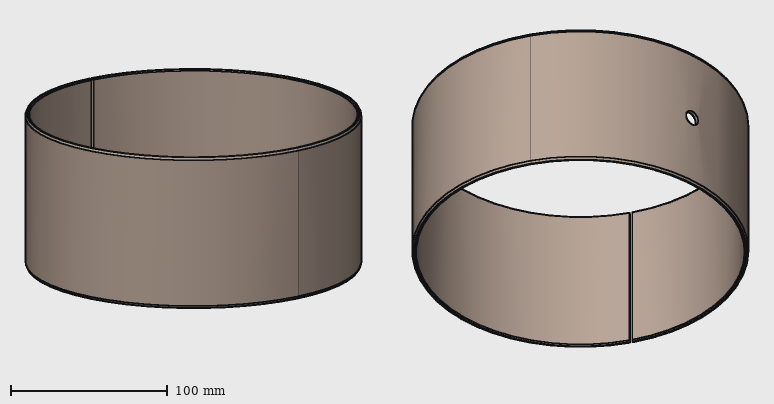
import cadquery as cq

outer_diameter = 215.0
height = 100.0
wall = 2.5
outer_bevel_width = 0.9
outer_bevel_height = 1.7
inner_bevel = 0.9
split_width = 2.0
hole_diameter = 10.0
hole_angle = 59.0

outer_radius = outer_diameter / 2
inner_radius = outer_radius - wall
half_height = height / 2


def make_ring():
    """Revolve the wall section, with both rims bevelled inside and out."""
    rim_outer = outer_radius - outer_bevel_width
    rim_inner = inner_radius + inner_bevel
    outer_shoulder = half_height - outer_bevel_height
    inner_shoulder = half_height - inner_bevel
    section = (
        cq.Workplane("XZ")
        .moveTo(inner_radius, -inner_shoulder)
        .lineTo(rim_inner, -half_height)
        .lineTo(rim_outer, -half_height)
        .lineTo(outer_radius, -outer_shoulder)
        .lineTo(outer_radius, outer_shoulder)
        .lineTo(rim_outer, half_height)
        .lineTo(rim_inner, half_height)
        .lineTo(inner_radius, inner_shoulder)
        .close()
    )
    return section.revolve(360, (0, 0, 0), (0, 1, 0))


def make_split():
    """Full-height slit on the -X side, with its lower face on the XZ plane."""
    cutter = cq.Workplane("XY").box(outer_radius, split_width, height)
    return cutter.translate((-outer_radius, split_width / 2, 0))


def make_hole():
    """Radial hole through the wall at mid height."""
    hole = cq.Workplane("YZ").circle(hole_diameter / 2).extrude(outer_diameter)
    return hole.rotate((0, 0, 0), (0, 0, 1), hole_angle)


result = make_ring().cut(make_split()).cut(make_hole())